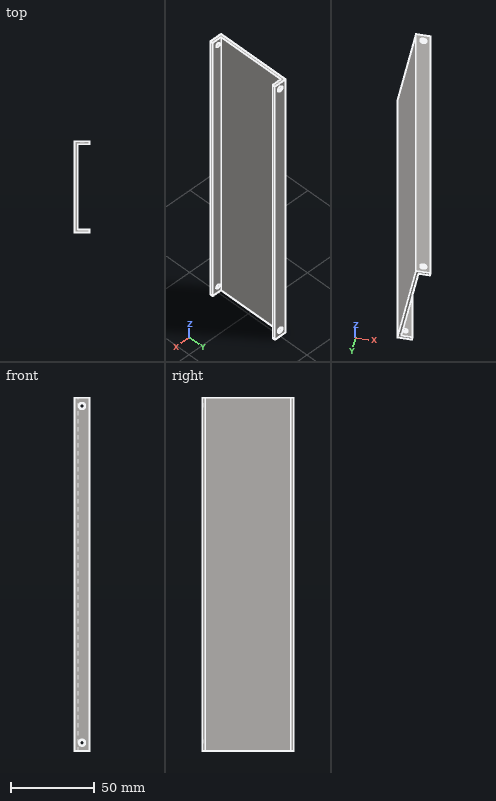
import cadquery as cq

depth = 9.0
width = 55.0
height = 212.0

web_thickness = 2
flange_thickness = 2

hole_diameter = 3
countersink_diameter = 4
countersink_angle = 90
hole_end_distance = 5


def make_channel():
    """U-shaped channel: web on the -X side, flanges reaching toward +X."""
    block = cq.Workplane("XY").box(depth, width, height)
    cavity = (
        cq.Workplane("XY")
        .box(depth, width - 2 * flange_thickness, height)
        .translate((web_thickness, 0, 0))
    )
    return block.cut(cavity)


def drill_flange(channel, face_selector):
    """Cut the countersunk holes at both ends of one flange."""
    hole_offset = height / 2 - hole_end_distance
    return (
        channel.faces(face_selector)
        .workplane(centerOption="CenterOfBoundBox")
        .pushPoints([(0, -hole_offset), (0, hole_offset)])
        .cskHole(hole_diameter, countersink_diameter, countersink_angle, depth=flange_thickness)
    )


result = make_channel()
for outer_face in ("<Y", ">Y"):
    result = drill_flange(result, outer_face)